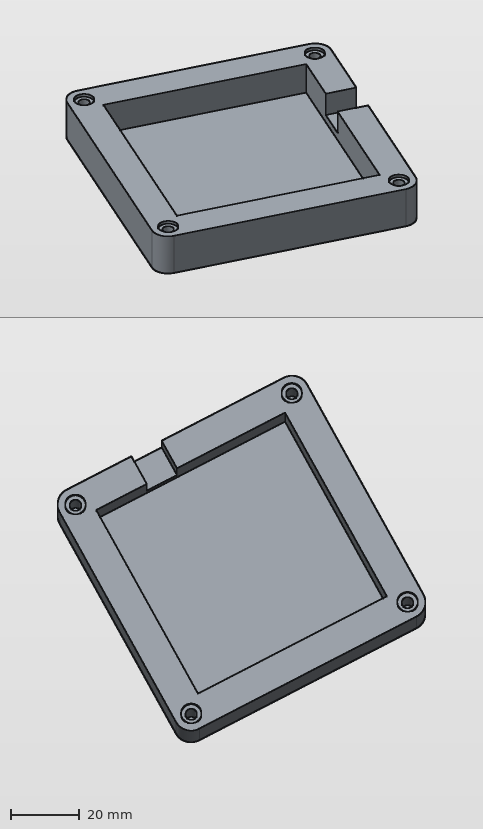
import cadquery as cq

length_x = 81.9
length_y = 82.0
height = 13.0
corner_radius = 5.0

pocket_x = 62.5
pocket_y = 63.0
pocket_depth = 10.0

notch_width = 10.0
notch_depth = 7.5
notch_center_x = -9.5

hole_inset = 5.2
hole_diameter = 3.4
hole_depth = pocket_depth
counterbore_diameter = 6.0
counterbore_depth = 1.0


def make_body():
    """Plate with rounded vertical corners, resting on Z = 0."""
    plate = cq.Workplane("XY").box(length_x, length_y, height, centered=(True, True, False))
    return plate.edges("|Z").fillet(corner_radius)


def make_pocket():
    """Rectangular block that hollows out the middle of the plate."""
    return (
        cq.Workplane("XY", origin=(0, 0, height))
        .rect(pocket_x, pocket_y)
        .extrude(-pocket_depth)
    )


def make_notch():
    """Block running from the middle of the pocket out through the +Y wall."""
    run = length_y / 2
    return (
        cq.Workplane("XY", origin=(notch_center_x, run / 2, height))
        .rect(notch_width, run)
        .extrude(-notch_depth)
    )


def make_corner_holes():
    """Blind holes with shallow counterbores at the top, one per corner."""
    spacing_x = length_x - 2 * hole_inset
    spacing_y = length_y - 2 * hole_inset
    corners = (
        cq.Workplane("XY", origin=(0, 0, height))
        .rect(spacing_x, spacing_y, forConstruction=True)
        .vertices()
    )
    holes = corners.circle(hole_diameter / 2).extrude(-hole_depth)
    counterbores = corners.circle(counterbore_diameter / 2).extrude(-counterbore_depth)
    return holes.union(counterbores)


result = make_body().cut(make_pocket()).cut(make_notch()).cut(make_corner_holes())